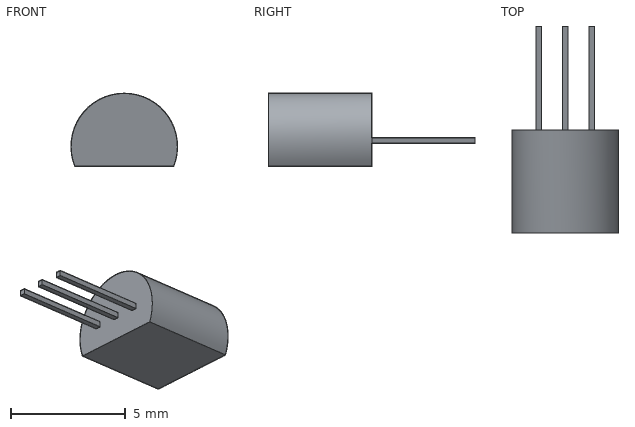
import cadquery as cq

body_diameter = 4.64
body_height = 3.19
body_length = 4.5

overall_length = 9.0
lead_length = overall_length - body_length
lead_size = 0.25
lead_pitch = 1.15
lead_count = 3
lead_height = 1.125

body_radius = body_diameter / 2
axis_height = body_height - body_radius


def make_body():
    """Cylinder along Y, cut off by the flat at Z = 0."""
    cylinder = (
        cq.Workplane("XZ", origin=(0, 0, axis_height))
        .circle(body_radius)
        .extrude(-body_length)
    )
    above_flat = cq.Workplane("XY").box(
        body_diameter, body_length, body_height, centered=(True, False, False)
    )
    return cylinder.intersect(above_flat)


def make_lead(x):
    """Square pin standing on the back face, centred at x."""
    return (
        cq.Workplane("XZ", origin=(x, body_length, lead_height))
        .rect(lead_size, lead_size)
        .extrude(-lead_length)
    )


result = make_body()
for index in range(lead_count):
    offset = index - (lead_count - 1) / 2
    result = result.union(make_lead(offset * lead_pitch))